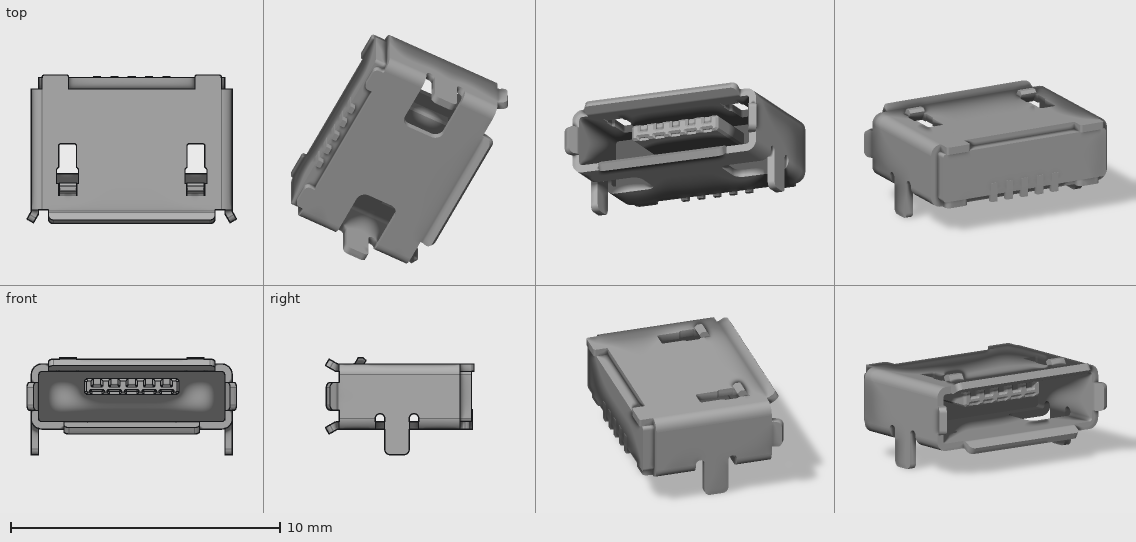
import cadquery as cq
import math

shell_width = 7.47
shell_height = 2.43
shell_length = 4.495
wall = 0.28
corner_radius = 0.405
half_width = shell_width / 2
inner_half_width = half_width - wall
inner_top = shell_height - wall

lip_bend_y = 0.06
lip_inner_radius = 0.11
lip_outer_radius = 0.2
lip_angle = math.radians(30)
lip_corner_radius = 0.195
long_lip_length = 0.36
side_lip_length = 0.32
top_lip_width = 6.185
bottom_lip_width = 5.05
side_lip_width = 1.04
side_lip_z = 1.22

leg_y = 2.15
leg_width = 0.92
leg_drop = 0.95
leg_corner_radius = 0.22
relief_width = 0.34
cutout_length = leg_width + 2 * relief_width
cutout_inner_x = 1.635
cutout_corner_radius = relief_width

latch_x = 2.37
latch_width = 0.62
latch_angle = math.radians(60)
latch_front_y = 0.58
latch_root_radius = 0.06
latch_rise = 0.225
latch_top_length = 0.19
latch_tip_drop = 0.1
latch_tip_setback = 0.11
slot_front_y = 0.54
slot_front_width = 0.685
slot_wide_width = 0.81
slot_narrow_width = 0.655
slot_wide_start_y = 0.99
slot_wide_end_y = 1.5
slot_taper_length = 0.09
slot_back_y = 2.45
slot_x = 2.38
slot_corner_radius = 0.08

tab_outer_x = half_width - corner_radius
top_tab_end_y = 5.02
tab_inner_x = 2.345
top_tab_corner_radius = 0.085
bottom_tab_end_y = 4.85
bottom_tab_corner_radius = 0.17
bottom_tab_root_radius = 0.08

insulator_front_y = 3.35
insulator_back_y = 4.92
tongue_front_y = 0.935
tongue_width = 3.52
tongue_bottom_z = 1.29
tongue_top_z = 1.885
tongue_chamfer = 0.085

contact_count = 5
contact_pitch = 0.65
contact_width = 0.265
contact_tail_front_y = 4.75
contact_back_y = 4.95
contact_tail_height = 0.73
socket_depth = 0.155
socket_flare = 0.085
socket_corner = 0.05
socket_inner_corner = 0.005
upper_socket_floor_z = 1.65
lower_socket_roof_z = 1.395
lower_socket_width = 0.375


def box(x0, x1, y0, y1, z0, z1):
    """Box between two opposite corners."""
    return cq.Workplane("XY").box(x1 - x0, y1 - y0, z1 - z0, centered=False).translate((x0, y0, z0))


def both_sides(solid):
    """The solid together with its mirror image in the plane X = 0."""
    return solid.union(solid.mirror("YZ"))


def rounded_bar(width, z0, z1, y0, y1, radius):
    """Bar along Y, centred on X = 0, with its long edges rounded."""
    return box(-width / 2, width / 2, y0, y1, z0, z1).edges("|Y").fillet(radius)


def make_shell():
    outer = rounded_bar(shell_width, 0, shell_height, 0, shell_length, corner_radius)
    inner = rounded_bar(2 * inner_half_width, wall, inner_top, 0, shell_length, corner_radius - wall)
    return outer.cut(inner)


def make_lip(width, length):
    """Lip that bends up and away from a wall whose outer surface is Z = 0 and whose end is Y = 0."""
    tip_y = -lip_bend_y - length * math.cos(lip_angle)
    tip_z = length * math.sin(lip_angle)
    under_bend_y = -lip_bend_y - wall * math.tan(lip_angle / 2)
    lip = (
        cq.Workplane("YZ")
        .polyline([
            (0, 0),
            (-lip_bend_y, 0),
            (tip_y, tip_z),
            (tip_y - wall * math.sin(lip_angle), tip_z - wall * math.cos(lip_angle)),
            (under_bend_y, -wall),
            (0, -wall),
        ])
        .close()
        .extrude(width / 2, both=True)
    )
    lip = lip.edges(cq.selectors.NearestToPointSelector((0, -lip_bend_y, 0))).fillet(lip_inner_radius)
    lip = lip.edges(cq.selectors.NearestToPointSelector((0, under_bend_y, -wall))).fillet(lip_outer_radius)
    across_tip = cq.Vector(0, math.sin(lip_angle), math.cos(lip_angle))
    return lip.edges(cq.selectors.ParallelDirSelector(across_tip)).fillet(lip_corner_radius)


def make_lips():
    top = make_lip(top_lip_width, long_lip_length).translate((0, 0, shell_height))
    bottom = make_lip(bottom_lip_width, long_lip_length).rotate((0, 0, 0), (0, 1, 0), 180)
    right = make_lip(side_lip_width, side_lip_length).rotate((0, 0, 0), (0, 1, 0), 90)
    sides = both_sides(right.translate((half_width, 0, side_lip_z)))
    return top.union(bottom).union(sides)


def make_leg_cutout():
    """Opening in the floor and bottom corner, with a round relief in the wall on each side of the leg."""
    y0 = leg_y - cutout_length / 2
    y1 = leg_y + cutout_length / 2
    opening = box(cutout_inner_x, half_width, y0, y1, 0, corner_radius)
    opening = opening.edges("|Z and <X").fillet(cutout_corner_radius)
    relief_offset = (leg_width + relief_width) / 2
    reliefs = (
        cq.Workplane("YZ", origin=(inner_half_width - wall, 0, 0))
        .pushPoints([(leg_y - relief_offset, corner_radius), (leg_y + relief_offset, corner_radius)])
        .circle(relief_width / 2)
        .extrude(2 * wall)
    )
    return both_sides(opening.union(reliefs))


def make_legs():
    y0 = leg_y - leg_width / 2
    leg = box(inner_half_width, half_width, y0, y0 + leg_width, -leg_drop, corner_radius)
    return both_sides(leg.edges("|X and <Z").fillet(leg_corner_radius))


def make_latch_slots():
    def section(width, y0, y1):
        return box(slot_x - width / 2, slot_x + width / 2, y0, y1, inner_top, shell_height)

    taper = (
        cq.Workplane("XY", origin=(0, 0, inner_top))
        .polyline([
            (slot_x - slot_wide_width / 2, slot_wide_end_y),
            (slot_x + slot_wide_width / 2, slot_wide_end_y),
            (slot_x + slot_narrow_width / 2, slot_wide_end_y + slot_taper_length),
            (slot_x - slot_narrow_width / 2, slot_wide_end_y + slot_taper_length),
        ])
        .close()
        .extrude(wall)
    )
    narrow = section(slot_narrow_width, slot_wide_end_y, slot_back_y)
    narrow = narrow.edges("|Z and >Y").fillet(slot_corner_radius)
    front = section(slot_front_width, slot_front_y, slot_wide_start_y)
    wide = section(slot_wide_width, slot_wide_start_y, slot_wide_end_y)
    return both_sides(front.union(wide).union(taper).union(narrow))


def make_latches():
    """Strips sloping up and back out of the front end of the latch slots."""
    run_per_rise = 1 / math.tan(latch_angle)
    front_top_y = latch_front_y + latch_rise * run_per_rise
    top_z = shell_height + latch_rise
    tip_y = front_top_y + latch_top_length + latch_tip_setback
    tip_z = top_z - latch_tip_drop
    back_base_y = tip_y - (tip_z - inner_top) * run_per_rise
    latch = (
        cq.Workplane("YZ", origin=(latch_x - latch_width / 2, 0, 0))
        .polyline([
            (slot_front_y, inner_top),
            (slot_front_y, shell_height),
            (latch_front_y, shell_height),
            (front_top_y, top_z),
            (front_top_y + latch_top_length, top_z),
            (tip_y, tip_z),
            (back_base_y, inner_top),
        ])
        .close()
        .extrude(latch_width)
    )
    root = cq.selectors.NearestToPointSelector((latch_x, latch_front_y, shell_height))
    return both_sides(latch.edges(root).fillet(latch_root_radius))


def make_top_tabs():
    tab = box(tab_inner_x, tab_outer_x, shell_length, top_tab_end_y, inner_top, shell_height)
    return both_sides(tab.edges("|Z and >Y").fillet(top_tab_corner_radius))


def make_bottom_tabs():
    """Rear floor tabs with rounded ends and a fillet where their outer side meets the shell."""
    root = bottom_tab_root_radius
    side_x = tab_outer_x - root
    tab = box(tab_inner_x, side_x, shell_length, bottom_tab_end_y, 0, wall)
    tab = tab.edges("|Z and >Y").fillet(bottom_tab_corner_radius)
    gusset = box(side_x, tab_outer_x, shell_length, shell_length + root, 0, wall)
    hollow = cq.Workplane("XY").center(tab_outer_x, shell_length + root).circle(root).extrude(wall)
    return both_sides(tab.union(gusset.cut(hollow)))


def make_insulator():
    return rounded_bar(
        2 * inner_half_width, wall, inner_top, insulator_front_y, insulator_back_y, corner_radius - wall
    )


def make_socket(x, width, end_z, open_z):
    """Contact recess in the tongue tip, open on the side towards open_z, with a flared mouth."""
    outward = math.copysign(1, open_z - end_z)
    recess_end_y = tongue_front_y + socket_depth
    recess = box(
        x - width / 2, x + width / 2, tongue_front_y, recess_end_y, min(end_z, open_z), max(end_z, open_z)
    )

    def outline(flare, corner):
        half = width / 2 + flare
        z = end_z - outward * flare
        return [
            (x - half, open_z),
            (x - half, z + outward * corner),
            (x - half + corner, z),
            (x + half - corner, z),
            (x + half, z + outward * corner),
            (x + half, open_z),
        ]

    mouth = (
        cq.Workplane("XZ", origin=(0, tongue_front_y, 0))
        .polyline(outline(socket_flare, socket_corner))
        .close()
        .workplane(offset=-socket_flare)
        .polyline(outline(0, socket_inner_corner))
        .close()
        .loft(ruled=True)
    )
    return recess.union(mouth)


def contact_positions():
    return [(i - (contact_count - 1) / 2) * contact_pitch for i in range(contact_count)]


def make_tongue():
    tongue = box(
        -tongue_width / 2, tongue_width / 2, tongue_front_y, insulator_front_y, tongue_bottom_z, tongue_top_z
    )
    tongue = tongue.edges("|Y").chamfer(tongue_chamfer).faces("<Y").chamfer(tongue_chamfer)
    for x in contact_positions():
        tongue = tongue.cut(make_socket(x, contact_width, upper_socket_floor_z, tongue_top_z))
        tongue = tongue.cut(make_socket(x, lower_socket_width, lower_socket_roof_z, tongue_bottom_z))
    return tongue


def add_contact_tails(body):
    for x in contact_positions():
        half = contact_width / 2
        body = body.union(
            box(x - half, x + half, contact_tail_front_y, contact_back_y, 0, contact_tail_height)
        )
    return body


shell = make_shell().cut(make_leg_cutout()).cut(make_latch_slots())
for piece in (make_lips(), make_legs(), make_latches(), make_top_tabs(), make_bottom_tabs()):
    shell = shell.union(piece)
insert = add_contact_tails(make_insulator().union(make_tongue()))
result = shell.union(insert)